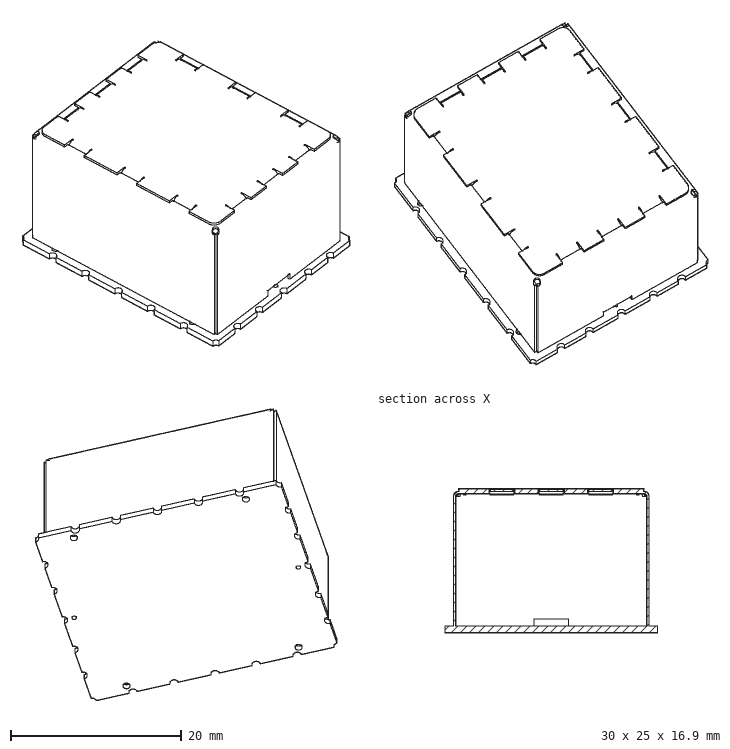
import cadquery as cq
import math

board_length = 30.0
board_width = 25.0
board_thickness = 0.8
castellation_diameter = 1.0
castellation_pitch_x = 5.0
castellation_ys = (-8.5, -4.5, 0.0, 4.5, 8.5)
lug_hole_diameter = 0.8
lug_hole_x = 10.5
lug_hole_y = 11.37
via_diameter = 0.5
via_x = 13.68

overall_height = 16.92
sheet_thickness = 0.3
cover_length = 28.32
cover_width = 22.98
bend_radius = 0.6
corner_notch = 0.27
relief_diameter = 0.8
window_width = 4.02
window_height = 0.8

lid_length = 27.0
lid_width = cover_width - 2 * bend_radius
lid_corner_radius = 1.0

opening_width = 3.0
tab_width = 2.75
tab_ledge = 0.6
tab_bend_radius = 0.72
slit_end = 1.45
tab_pitch_x = 8.0
tab_pitch_y = 5.8

cover_top = overall_height - sheet_thickness
bend_start = cover_top - bend_radius
inner_top = cover_top - sheet_thickness


def upright_box(length, width, bottom, top):
    """Box centred on the Z axis between two heights."""
    return cq.Workplane("XY").box(length, width, top - bottom, (True, True, False)).translate((0, 0, bottom))


def upright_cylinders(points, diameter, bottom, top):
    """Vertical cylinders at the given points between two heights."""
    base = cq.Workplane("XY", origin=(0, 0, bottom)).pushPoints(points)
    return base.circle(diameter / 2).extrude(top - bottom)


def corners(half_x, half_y):
    """Four points mirrored about both the X and Y axes."""
    return [(sx * half_x, sy * half_y) for sx in (-1, 1) for sy in (-1, 1)]


def make_board():
    """Flat board with scalloped edges, lug holes under the cover edge and two vias."""
    half_x = board_length / 2
    half_y = board_width / 2
    castellations = corners(half_x, half_y)
    for side in (-1, 1):
        castellations += [(i * castellation_pitch_x, side * half_y) for i in range(-2, 3)]
        castellations += [(side * half_x, y) for y in castellation_ys]
    lug_holes = corners(lug_hole_x, lug_hole_y)
    vias = [(-via_x, 0), (via_x, 0)]

    board = upright_box(board_length, board_width, 0, board_thickness)
    for points, diameter in (
        (castellations, castellation_diameter),
        (lug_holes, lug_hole_diameter),
        (vias, via_diameter),
    ):
        board = board.cut(upright_cylinders(points, diameter, 0, board_thickness))
    return board


def make_cover():
    """Hollow box of folded sheet, open at the bottom where it stands on the board."""
    cover = upright_box(cover_length, cover_width, board_thickness, cover_top)
    cover = cover.faces(">Z").edges().fillet(bend_radius)
    cavity = upright_box(
        cover_length - 2 * sheet_thickness, cover_width - 2 * sheet_thickness, board_thickness, inner_top
    )
    cover = cover.cut(cavity.faces(">Z").edges().fillet(bend_radius - sheet_thickness))

    for x, y in corners(cover_length / 2, cover_width / 2):
        groove = upright_box(2 * corner_notch, 2 * corner_notch, board_thickness, cover_top)
        cover = cover.cut(groove.translate((x, y, 0)))

    relief_inset = relief_diameter / 2
    reliefs = corners(cover_length / 2 - relief_inset, cover_width / 2 - relief_inset)
    cover = cover.cut(upright_cylinders(reliefs, relief_diameter, bend_start, cover_top))

    window = upright_box(cover_length, window_width, board_thickness, board_thickness + window_height)
    return cover.cut(window)


def make_lid():
    """Round-cornered plate lying on the cover."""
    lid = upright_box(lid_length, lid_width, cover_top, overall_height)
    return lid.edges("|Z").fillet(lid_corner_radius)


def tab_opening():
    """Space freed around one tab; the lid edge is at X = 0 and the lid extends toward +X."""
    slot_length = slit_end - tab_ledge
    slot_center = (slit_end + tab_ledge) / 2
    ledge = upright_box(slit_end, opening_width, cover_top, overall_height)
    slot = upright_box(slot_length, opening_width, inner_top, overall_height)
    return ledge.translate((slit_end / 2, 0, 0)).union(slot.translate((slot_center, 0, 0)))


def bent_tab():
    """Quarter-round tab that curves down from the lid toward its edge at X = 0."""
    bend_end_x = tab_ledge + tab_bend_radius
    bend_z = overall_height - tab_bend_radius
    inner_radius = tab_bend_radius - sheet_thickness
    diagonal = math.sqrt(0.5)
    profile = (
        cq.Workplane("XZ")
        .moveTo(slit_end, overall_height)
        .lineTo(bend_end_x, overall_height)
        .threePointArc(
            (bend_end_x - tab_bend_radius * diagonal, bend_z + tab_bend_radius * diagonal),
            (tab_ledge, bend_z),
        )
        .lineTo(tab_ledge + sheet_thickness, bend_z)
        .threePointArc(
            (bend_end_x - inner_radius * diagonal, bend_z + inner_radius * diagonal),
            (bend_end_x, cover_top),
        )
        .lineTo(slit_end, cover_top)
        .close()
    )
    return profile.extrude(tab_width / 2, both=True)


def tab_placements():
    """Turn about Z and shift for every tab, three on each side of the lid."""
    placements = []
    for i in (-1, 0, 1):
        placements.append((0, (-lid_length / 2, i * tab_pitch_y, 0)))
        placements.append((180, (lid_length / 2, i * tab_pitch_y, 0)))
        placements.append((90, (i * tab_pitch_x, -lid_width / 2, 0)))
        placements.append((-90, (i * tab_pitch_x, lid_width / 2, 0)))
    return placements


def on_lid_edge(shape, turn, shift):
    """Move a shape built at the X = 0 lid edge to one tab position."""
    return shape.rotate((0, 0, 0), (0, 0, 1), turn).translate(shift)


cap = make_cover().union(make_lid())
for turn, shift in tab_placements():
    cap = cap.cut(on_lid_edge(tab_opening(), turn, shift))
    cap = cap.union(on_lid_edge(bent_tab(), turn, shift))

result = make_board().union(cap)